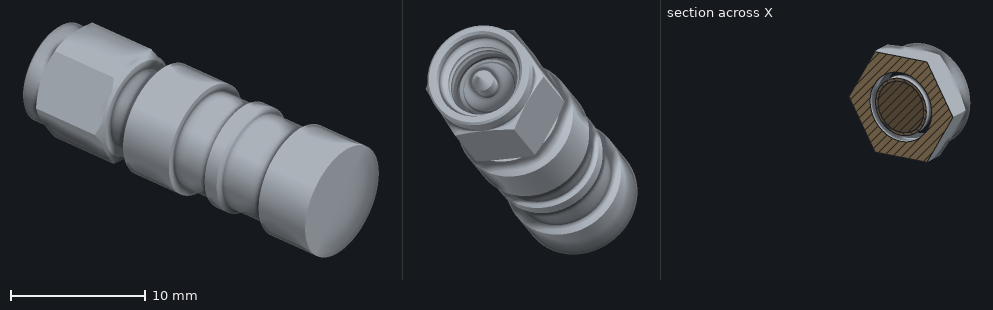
import cadquery as cq
import math


total_length = 27.1
chamfer_slope = math.tan(math.radians(30))

hex_across_corners = 9.15
collar_radius = 3.95
collar_end = 1.45
lip_chamfer = 0.15
hex_end = 7.62
nut_end = 7.78
nut_face_radius = 3.88
mouth_radius = 3.45
mouth_chamfer = 0.2
thread_root_radius = 3.25
thread_crest_radius = 2.68
thread_start = 1.0
thread_pitch = 0.7
thread_count = 4

neck_radius = 3.17
ferrule_radius = 2.25
ferrule_face = 2.87
neck_end = 9.2
shell_radius = 4.5
front_shell_end = 14.25
barrel_radius = 3.88
ring_radius = 4.28
ring_start = 17.24
ring_end = 18.83
rear_shell_start = 22.35

insulator_radius = 1.98
seam_chamfer = 0.08
pin_radius = 0.8
pin_tip_radius = 0.08
pin_tip = 0.35
pin_shoulder = 1.3

thread_end = thread_start + thread_count * thread_pitch


def cone_run(small_radius, large_radius):
    """Axial length of a turned cone between two radii."""
    return (large_radius - small_radius) * chamfer_slope


def revolve_profile(points):
    """Turn a closed (x, radius) outline about the X axis."""
    return cq.Workplane("XY").polyline(points).close().revolve(360, (0, 0, 0), (1, 0, 0))


def nut_blank():
    """Turned nut: chamfered lip, collar, and a hex-wide drum with a cone at each end."""
    corner_radius = hex_across_corners / 2
    return revolve_profile([
        (0, 0),
        (0, collar_radius - lip_chamfer),
        (lip_chamfer, collar_radius),
        (collar_end, collar_radius),
        (collar_end + cone_run(collar_radius, corner_radius), corner_radius),
        (nut_end - cone_run(nut_face_radius, corner_radius), corner_radius),
        (nut_end, nut_face_radius),
        (nut_end, 0),
    ])


def hex_trim():
    """Material to remove around the six flats; it stops short of the rear rim."""
    flat_length = hex_end - collar_end
    plane = cq.Workplane("YZ", origin=(collar_end, 0, 0))
    drum = plane.circle(hex_across_corners).extrude(flat_length)
    prism = plane.polygon(6, hex_across_corners).extrude(flat_length)
    return drum.cut(prism)


def nut_bore():
    """Chamfered mouth, relief, ring-shaped V thread and the seat for the body neck."""
    outline = [
        (0, 0),
        (0, mouth_radius),
        (mouth_chamfer, thread_root_radius),
        (thread_start, thread_root_radius),
    ]
    for turn in range(thread_count):
        turn_start = thread_start + turn * thread_pitch
        outline.append((turn_start + thread_pitch / 2, thread_crest_radius))
        if turn < thread_count - 1:
            outline.append((turn_start + thread_pitch, thread_root_radius))
    outline += [
        (thread_end, thread_crest_radius),
        (thread_end, neck_radius),
        (nut_end, neck_radius),
        (nut_end, 0),
    ]
    return revolve_profile(outline)


def make_nut():
    return nut_blank().cut(hex_trim()).cut(nut_bore())


def make_body():
    """Turned body with a ferrule in front and a blind recess for the core."""
    ring_run = cone_run(barrel_radius, ring_radius)
    return revolve_profile([
        (ferrule_face, insulator_radius + seam_chamfer),
        (ferrule_face, ferrule_radius),
        (thread_end, ferrule_radius),
        (thread_end, neck_radius),
        (neck_end, neck_radius),
        (neck_end + cone_run(neck_radius, shell_radius), shell_radius),
        (front_shell_end, shell_radius),
        (front_shell_end, barrel_radius),
        (ring_start, barrel_radius),
        (ring_start + ring_run, ring_radius),
        (ring_end - ring_run, ring_radius),
        (ring_end, barrel_radius),
        (rear_shell_start, barrel_radius),
        (rear_shell_start + cone_run(barrel_radius, shell_radius), shell_radius),
        (total_length, shell_radius),
        (total_length, 0),
        (nut_end, 0),
        (nut_end, insulator_radius),
        (ferrule_face + seam_chamfer, insulator_radius),
    ])


def make_core():
    """Insulator flush with the ferrule, with a pointed pin standing out of it."""
    return revolve_profile([
        (pin_tip, 0),
        (pin_tip, pin_tip_radius),
        (pin_shoulder, pin_radius),
        (ferrule_face, pin_radius),
        (ferrule_face, insulator_radius - seam_chamfer),
        (ferrule_face + seam_chamfer, insulator_radius),
        (nut_end, insulator_radius),
        (nut_end, 0),
    ])


nut = make_nut()
body = make_body()
core = make_core()

result = cq.Compound.makeCompound([nut.val(), body.val(), core.val()])